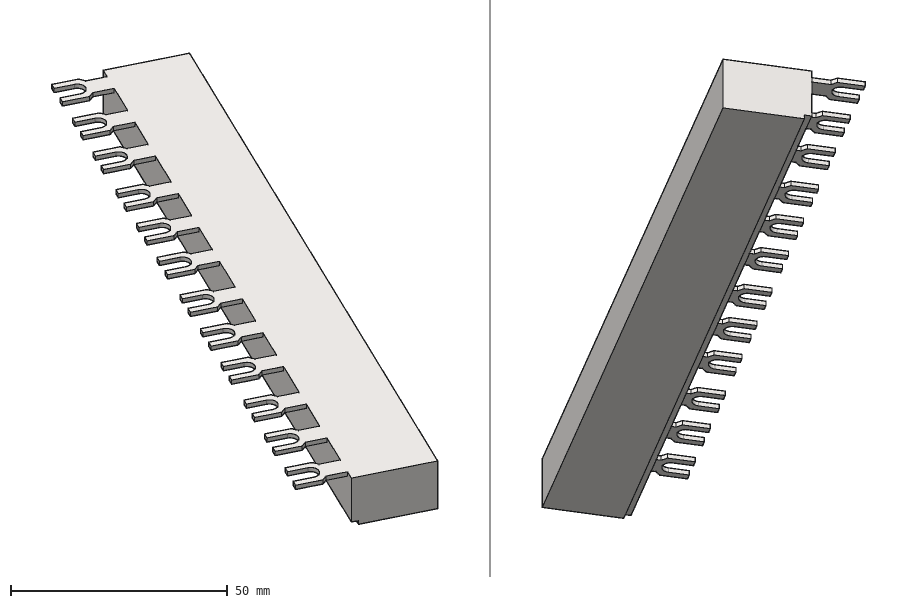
import cadquery as cq

body_length = 174.2
body_depth = 21.0
body_height = 13.5

step_depth = 1.7
step_height = 1.0

overall_depth = 34.1
fork_reach = overall_depth - body_depth
fork_thickness = 1.2
fork_width = 7.5
shank_width = 5.0
shank_length = 5.2
slot_width = 4.0
slot_length = 7.0

group_count = 4
group_pitch = 45.0
phase_count = 3
phase_pitch = 14.5


def centred_positions(count, pitch):
    """Evenly spaced positions, symmetric about zero."""
    return [(index - (count - 1) / 2) * pitch for index in range(count)]


def make_body():
    """Bar with its front face at Y = 0, its underside at Z = 0 and a step under the front edge."""
    return (
        cq.Workplane("YZ")
        .moveTo(step_depth, 0)
        .lineTo(body_depth, 0)
        .lineTo(body_depth, body_height)
        .lineTo(0, body_height)
        .lineTo(0, step_height)
        .lineTo(step_depth, step_height)
        .close()
        .extrude(body_length / 2, both=True)
    )


def make_fork():
    """Flat terminal centred on X = 0: a shank widening at 45 degrees into two prongs."""
    half_fork = fork_width / 2
    half_shank = shank_width / 2
    half_slot = slot_width / 2
    shoulder = half_fork - half_shank
    slot_end = slot_length - fork_reach
    arc_start = slot_end - half_slot
    return (
        cq.Workplane("XY")
        .workplane(offset=body_height - fork_thickness)
        .moveTo(-half_shank, 0)
        .lineTo(-half_shank, -shank_length)
        .lineTo(-half_fork, -shank_length - shoulder)
        .lineTo(-half_fork, -fork_reach)
        .lineTo(-half_slot, -fork_reach)
        .lineTo(-half_slot, arc_start)
        .threePointArc((0, slot_end), (half_slot, arc_start))
        .lineTo(half_slot, -fork_reach)
        .lineTo(half_fork, -fork_reach)
        .lineTo(half_fork, -shank_length - shoulder)
        .lineTo(half_shank, -shank_length)
        .lineTo(half_shank, 0)
        .close()
        .extrude(fork_thickness)
    )


result = make_body()
fork = make_fork()
for group_x in centred_positions(group_count, group_pitch):
    for phase_x in centred_positions(phase_count, phase_pitch):
        result = result.union(fork.translate((group_x + phase_x, 0, 0)))